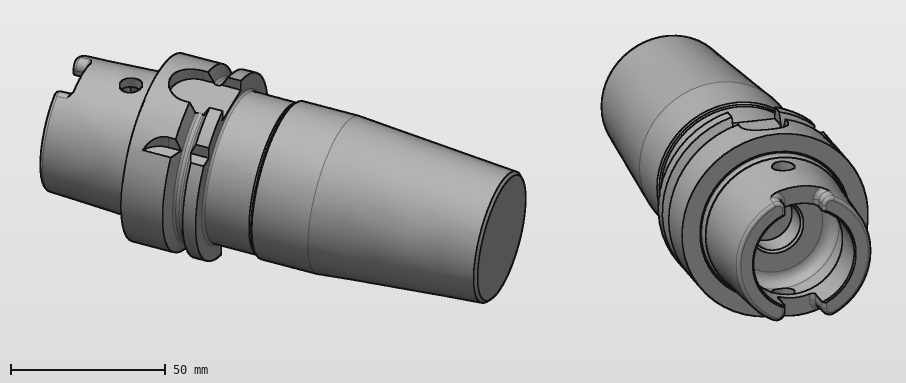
import cadquery as cq
import math


cut_margin = 2.0

shank_length = 32.0
projection = 120.0
flange_width = 26.0
collar_start = 43.0
cone_start = 63.0
shank_end = -shank_length

taper_slope = 1 / 20
gauge_radius = 24.0
gauge_offset = 6.3
taper_stop = -2.2
undercut_radius = 23.8
undercut_start = -1.6
undercut_arc_start = -1.0
undercut_arc_radius = 1.3
undercut_depth = 0.3
undercut_face_radius = 24.9
undercut_rim_radius = 25.4
shank_edge_fillet = 1.2

flange_radius = 31.5
groove_centre = 18.0
groove_width = 7.0
groove_radius = 27.5
groove_half_angle = 30.0
groove_fillet = 1.0

neck_radius = 25.5
neck_fillet = 0.8
collar_radius = 26.5
collar_fillet = 0.8
collar_chamfer = 0.6
nose_radius = 22.0
nose_chamfer = 1.0

bore_radius = 17.0
bore_chamfer = 0.5
bore_throat_length = 13.2
clamp_radius = 20.0
clamp_angle = 60.0
bore_floor = -1.0
bore_floor_fillet = 4.3
tube_hole_radius = 8.5
tube_hole_chamfer = 0.8
tube_hole_depth = 10.0

key_hole_radius = 3.7
key_hole_x = -9.1

drive_slot_width = 12.5
top_slot_depth = 6.0
bottom_slot_depth = 10.0
slot_flare_radius = 2.8
slot_floor_fillet = 1.5

keyway_end_x = 4.7
top_keyway_width = 16.0
bottom_keyway_width = 18.0
keyway_floor = 26.5
notch_width = 16.0
notch_end_x = 3.9
notch_corner = 20.0


def taper_radius(x):
    """Outer radius of the shank taper at axial position x."""
    return gauge_radius + taper_slope * (x + gauge_offset)


def revolve_about_x(profile):
    return profile.close().revolve(360, (0, 0, 0), (1, 0, 0))


def holder_body():
    profile = (
        cq.Workplane("XY")
        .moveTo(shank_end, 0)
        .lineTo(shank_end, taper_radius(shank_end))
        .lineTo(taper_stop, taper_radius(taper_stop))
        .lineTo(undercut_start, undercut_radius)
        .lineTo(undercut_arc_start, undercut_radius)
        .radiusArc((undercut_depth, undercut_face_radius), -undercut_arc_radius)
        .lineTo(0, undercut_rim_radius)
        .lineTo(0, flange_radius)
        .lineTo(flange_width, flange_radius)
        .lineTo(flange_width, neck_radius + neck_fillet)
        .radiusArc((flange_width + neck_fillet, neck_radius), -neck_fillet)
        .lineTo(collar_start - collar_fillet, neck_radius)
        .lineTo(collar_start, collar_radius - collar_chamfer)
        .lineTo(collar_start + collar_chamfer, collar_radius)
        .lineTo(cone_start, collar_radius)
        .lineTo(projection - nose_chamfer, nose_radius)
        .lineTo(projection, nose_radius - nose_chamfer)
        .lineTo(projection, 0)
    )
    return revolve_about_x(profile)


def gripper_groove():
    """Ring-shaped cutter for the V groove with a rounded floor."""
    flank_run = (flange_radius - groove_radius) * math.tan(math.radians(groove_half_angle))
    rim = groove_width / 2
    floor = rim - flank_run
    profile = (
        cq.Workplane("XY")
        .moveTo(groove_centre - rim, flange_radius)
        .lineTo(groove_centre - floor, groove_radius)
        .lineTo(groove_centre + floor, groove_radius)
        .lineTo(groove_centre + rim, flange_radius)
        .lineTo(groove_centre + rim, flange_radius + cut_margin)
        .lineTo(groove_centre - rim, flange_radius + cut_margin)
    )
    ring = revolve_about_x(profile)
    floor_edges = cq.selectors.RadiusNthSelector(0)
    return ring.edges("%CIRCLE").edges(floor_edges).fillet(groove_fillet)


def clamping_bore():
    throat_end = shank_end + bore_throat_length
    widening = (clamp_radius - bore_radius) / math.tan(math.radians(clamp_angle))
    tube_floor = bore_floor + tube_hole_depth
    profile = (
        cq.Workplane("XY")
        .moveTo(shank_end, 0)
        .lineTo(shank_end, bore_radius + bore_chamfer)
        .lineTo(shank_end + bore_chamfer, bore_radius)
        .lineTo(throat_end, bore_radius)
        .lineTo(throat_end + widening, clamp_radius)
        .lineTo(bore_floor - bore_floor_fillet, clamp_radius)
        .radiusArc((bore_floor, clamp_radius - bore_floor_fillet), bore_floor_fillet)
        .lineTo(bore_floor, tube_hole_radius + tube_hole_chamfer)
        .lineTo(bore_floor + tube_hole_chamfer, tube_hole_radius)
        .lineTo(tube_floor, tube_hole_radius)
        .lineTo(tube_floor, 0)
    )
    return revolve_about_x(profile)


def key_hole():
    """Plain hole along Z through both shank walls."""
    return (
        cq.Workplane("XY", origin=(key_hole_x, 0, 0))
        .circle(key_hole_radius)
        .extrude(flange_radius, both=True)
    )


def flip_to_bottom(cutter):
    return cutter.rotate((0, 0, 0), (1, 0, 0), 180)


def drive_slot(depth):
    """Straight-walled slot opening to +Z."""
    return (
        cq.Workplane("XY")
        .box(depth, drive_slot_width, flange_radius, centered=(False, True, False))
        .translate((shank_end, 0, 0))
    )


def wall_edges(body, depth, side):
    """Edges along X where the slot walls meet the taper; side is 1 at +Z, -1 at -Z."""
    wall_y = drive_slot_width / 2
    middle_x = shank_end + depth / 2
    edge_z = math.sqrt(taper_radius(middle_x) ** 2 - wall_y ** 2)
    edges = []
    for y in (-wall_y, wall_y):
        nearest = cq.selectors.NearestToPointSelector((middle_x, y, side * edge_z))
        edges.append(body.edges(nearest).val())
    return edges


def add_drive_slots(body):
    body = body.cut(drive_slot(top_slot_depth))
    body = body.cut(flip_to_bottom(drive_slot(bottom_slot_depth)))
    flared = wall_edges(body, top_slot_depth, 1) + wall_edges(body, bottom_slot_depth, -1)
    body = body.newObject(flared).fillet(slot_flare_radius)
    body = body.edges("|Z and (not <X)").fillet(slot_floor_fillet)
    return body.faces("<X").edges().fillet(shank_edge_fillet)


def round_ended_slot(width, end_x, centre_y, floor_z):
    """Slot along X cut down to floor_z, rounded at its end near the gauge face."""
    radius = width / 2
    arc_x = end_x + radius
    return (
        cq.Workplane("XY", origin=(0, 0, floor_z))
        .moveTo(flange_width, centre_y - radius)
        .lineTo(arc_x, centre_y - radius)
        .threePointArc((end_x, centre_y), (arc_x, centre_y + radius))
        .lineTo(flange_width, centre_y + radius)
        .close()
        .extrude(flange_radius + cut_margin - floor_z)
    )


def cut_flange(body):
    body = body.cut(gripper_groove())
    top_keyway = round_ended_slot(top_keyway_width, keyway_end_x, 0, keyway_floor)
    body = body.cut(top_keyway)
    bottom_keyway = round_ended_slot(bottom_keyway_width, keyway_end_x, 0, keyway_floor)
    body = body.cut(flip_to_bottom(bottom_keyway))
    notch_centre_y = -notch_corner - notch_width / 2
    return body.cut(round_ended_slot(notch_width, notch_end_x, notch_centre_y, notch_corner))


result = add_drive_slots(holder_body())
result = result.cut(clamping_bore())
result = result.cut(key_hole())
result = cut_flange(result)